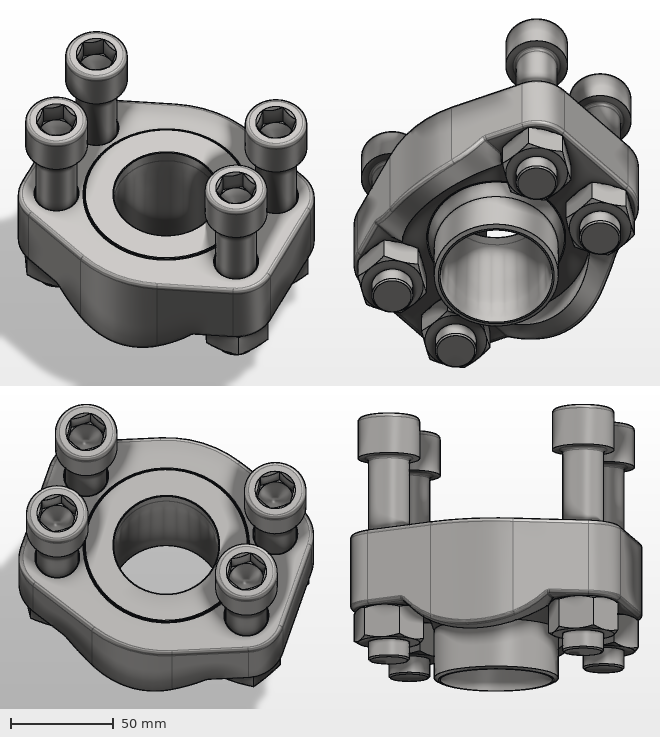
import cadquery as cq
import math

bolt_x = 48.4
bolt_y = 22.4
bolt_places = [(sx * bolt_x, sy * bolt_y) for sx in (-1, 1) for sy in (-1, 1)]
rim_chamfer = 0.4

flange_half_length = 67.0
flange_end_radius = 57.0
flange_top = -0.5
flange_thickness = 37.0
flange_bottom = flange_top - flange_thickness
flange_edge_fillet = 2.0
flange_corner_radius = flange_half_length - bolt_x
apron_bottom = -52.9
apron_radius = 50.0
apron_corner_fillet = 0.8
relief_diameter = 91.1
hub_seat_diameter = 80.1
hub_seat_depth = 12.0
hub_bore_diameter = 67.5
bolt_hole_diameter = 21.0

hub_length = 70.0
hub_head_diameter = 79.5
hub_body_diameter = 66.3
hub_cone_height = 8.0
hub_end_diameter = 60.3
hub_end_chamfer_width = 2.0
hub_end_chamfer_height = 1.0
port_diameter = 51.0
port_depth = 6.5
pipe_bore_diameter = 54.5

bolt_diameter = 20.0
bolt_head_diameter = 30.0
bolt_head_height = 20.0
bolt_head_bottom = 37.5
bolt_length = 100.0
bolt_tip_diameter = 18.4
bolt_head_fillet = 2.0
bolt_neck_fillet = 1.6
socket_width = 17.0
socket_depth = 11.0
socket_turn = 36.0
socket_mouth_diameter = 19.5
socket_mouth_angle = 90.0
socket_floor_angle = 120.0

nut_width = 30.0
nut_height = 16.1
nut_chamfer_angle = 30.0
nut_seat_clearance = 0.3


def hexagon_corner_diameter(width):
    """Diameter of the circle through the corners of a hexagon of the given width across flats."""
    return width / math.cos(math.pi / 6)


def cylinder(diameter, bottom, top):
    return cq.Workplane("XY", origin=(0, 0, bottom)).circle(diameter / 2).extrude(top - bottom)


def cone_below(diameter, base, point_angle):
    """Cone on the Z axis with its point down and the given full angle at the point."""
    radius = diameter / 2
    height = radius / math.tan(math.radians(point_angle / 2))
    return (
        cq.Workplane("XZ")
        .polyline([(0, base), (radius, base), (0, base - height)])
        .close()
        .revolve(360, (0, 0, 0), (0, 1, 0))
    )


def at_bolts(tool):
    """One copy of the tool on every bolt axis."""
    copies = cq.Workplane("XY")
    for x, y in bolt_places:
        copies = copies.add(tool.translate((x, y, 0)))
    return copies.combine()


def flange_blank(bottom):
    """Two end arcs and four corner arcs around the bolts, joined by tangent lines and extruded."""
    bolt_distance = math.hypot(bolt_x, bolt_y)
    radius_step = flange_end_radius - flange_corner_radius
    tangent_angle = math.atan2(bolt_y, bolt_x) + math.acos(radius_step / bolt_distance)

    def corner_point(angle):
        return (
            bolt_x + flange_corner_radius * math.cos(angle),
            bolt_y + flange_corner_radius * math.sin(angle),
        )

    side_x, side_y = corner_point(0)
    mid_x, mid_y = corner_point(tangent_angle / 2)
    corner_x, corner_y = corner_point(tangent_angle)
    end_x = flange_end_radius * math.cos(tangent_angle)
    end_y = flange_end_radius * math.sin(tangent_angle)
    return (
        cq.Workplane("XY", origin=(0, 0, bottom))
        .moveTo(side_x, -side_y)
        .lineTo(side_x, side_y)
        .threePointArc((mid_x, mid_y), (corner_x, corner_y))
        .lineTo(end_x, end_y)
        .threePointArc((0, flange_end_radius), (-end_x, end_y))
        .lineTo(-corner_x, corner_y)
        .threePointArc((-mid_x, mid_y), (-side_x, side_y))
        .lineTo(-side_x, -side_y)
        .threePointArc((-mid_x, -mid_y), (-corner_x, -corner_y))
        .lineTo(-end_x, -end_y)
        .threePointArc((0, -flange_end_radius), (end_x, -end_y))
        .lineTo(corner_x, -corner_y)
        .threePointArc((mid_x, -mid_y), (side_x, -side_y))
        .close()
        .extrude(flange_top - bottom)
    )


def flange_with_aprons():
    """Flange with a rounded apron hanging below each long side and with rounded outer edges."""
    apron_axis_z = apron_bottom + apron_radius
    apron_round = (
        cq.Workplane("XZ", origin=(0, 0, apron_axis_z))
        .circle(apron_radius)
        .extrude(flange_end_radius, both=True)
    )
    aprons = flange_blank(apron_bottom).intersect(apron_round)
    body = flange_blank(flange_bottom).union(aprons)

    apron_half_width = math.sqrt(apron_radius**2 - (apron_axis_z - flange_bottom) ** 2)
    around_corners = cq.selectors.BoxSelector(
        (-apron_half_width - 1.3, -1.3, flange_bottom - 1.3),
        (apron_half_width + 1.3, 1.3, flange_bottom + 1.3),
    )
    body = body.edges(around_corners).fillet(apron_corner_fillet)

    return body.faces("#Z").edges("not |Z").fillet(flange_edge_fillet)


def make_flange():
    """Flange bored and seated for the hub, hollowed below, and drilled for the bolts."""
    relief = cylinder(relief_diameter, apron_bottom, flange_bottom)
    seat = cylinder(hub_seat_diameter, flange_top - hub_seat_depth, flange_top)
    bore = cylinder(hub_bore_diameter, flange_bottom, flange_top)
    bolt_hole = cylinder(bolt_hole_diameter, flange_bottom, flange_top)
    nut_seat_diameter = hexagon_corner_diameter(nut_width) + nut_seat_clearance
    nut_seat = cylinder(nut_seat_diameter, flange_bottom - nut_height, flange_bottom)
    flange = flange_with_aprons().cut(relief).cut(seat).cut(bore)
    flange = flange.cut(at_bolts(bolt_hole)).cut(at_bolts(nut_seat))
    return flange.faces(">Z").edges("%CIRCLE").edges(rims()).chamfer(rim_chamfer)


def rims():
    """Box that holds the centres of the hub seat and bolt hole rims but not of the outer edges."""
    reach_x = bolt_x + 1.3
    reach_y = bolt_y + 1.3
    return cq.selectors.BoxSelector(
        (-reach_x, -reach_y, flange_top - 1.3), (reach_x, reach_y, flange_top + 1.3)
    )


def make_hub():
    """Hub with a wide head, a body that tapers to the pipe end, and a bore that widens downward."""
    head_radius = hub_head_diameter / 2
    head_bottom = flange_top - hub_seat_depth
    body_radius = hub_body_diameter / 2
    end_radius = hub_end_diameter / 2
    port_radius = port_diameter / 2
    return (
        cq.Workplane("XZ")
        .moveTo(port_radius + rim_chamfer, 0)
        .lineTo(head_radius - rim_chamfer, 0)
        .lineTo(head_radius, -rim_chamfer)
        .lineTo(head_radius, head_bottom)
        .lineTo(body_radius, head_bottom)
        .lineTo(body_radius, flange_bottom)
        .lineTo(end_radius, flange_bottom - hub_cone_height)
        .lineTo(end_radius, hub_end_chamfer_height - hub_length)
        .lineTo(end_radius - hub_end_chamfer_width, -hub_length)
        .lineTo(pipe_bore_diameter / 2, -hub_length)
        .lineTo(port_radius, -port_depth)
        .lineTo(port_radius, -rim_chamfer)
        .close()
        .revolve(360, (0, 0, 0), (0, 1, 0))
    )


def socket_tool(head_top):
    """Hexagon socket with a conical floor and a countersunk mouth."""
    floor = head_top - socket_depth
    hexagon = (
        cq.Workplane("XY", origin=(0, 0, floor))
        .polygon(6, hexagon_corner_diameter(socket_width))
        .extrude(socket_depth)
        .rotate((0, 0, 0), (0, 0, 1), socket_turn)
    )
    floor_cone = cone_below(socket_width, floor, socket_floor_angle)
    mouth = cone_below(socket_mouth_diameter, head_top, socket_mouth_angle)
    return hexagon.union(floor_cone).union(mouth)


def make_bolt():
    """Socket head bolt with a rounded head, a filleted neck and a chamfered tip."""
    head_top = bolt_head_bottom + bolt_head_height
    tip = bolt_head_bottom - bolt_length
    tip_chamfer = (bolt_diameter - bolt_tip_diameter) / 2
    head = cylinder(bolt_head_diameter, bolt_head_bottom, head_top)
    head = head.faces(">Z").edges().fillet(bolt_head_fillet)
    shank = cylinder(bolt_diameter, tip, bolt_head_bottom)
    shank = shank.faces("<Z").chamfer(tip_chamfer)
    bolt = head.union(shank)
    head_underside = bolt.faces("<Z[1]")
    bolt = head_underside.edges(cq.selectors.RadiusNthSelector(0)).fillet(bolt_neck_fillet)
    return bolt.cut(socket_tool(head_top))


def make_nut():
    """Hexagon nut against the flange underside, with the corners of both ends chamfered."""
    corner_diameter = hexagon_corner_diameter(nut_width)
    top = flange_bottom
    bottom = top - nut_height
    hexagon = cq.Workplane("XY", origin=(0, 0, bottom)).polygon(6, corner_diameter).extrude(nut_height)
    chamfer_width = (corner_diameter - nut_width) / 2
    chamfer_height = chamfer_width * math.tan(math.radians(nut_chamfer_angle))
    turned_blank = cylinder(corner_diameter, bottom, top)
    turned_blank = turned_blank.faces("|Z").chamfer(chamfer_height, chamfer_width)
    hole = cylinder(bolt_diameter, bottom, top)
    return hexagon.intersect(turned_blank).cut(hole)


flange = make_flange()
hub = make_hub()
bolt = make_bolt()
nut = make_nut()
bolts = [bolt.translate((x, y, 0)).solids().val() for x, y in bolt_places]
nuts = [nut.translate((x, y, 0)).solids().val() for x, y in bolt_places]

result = cq.Compound.makeCompound([flange.solids().val(), hub.val(), *bolts, *nuts])